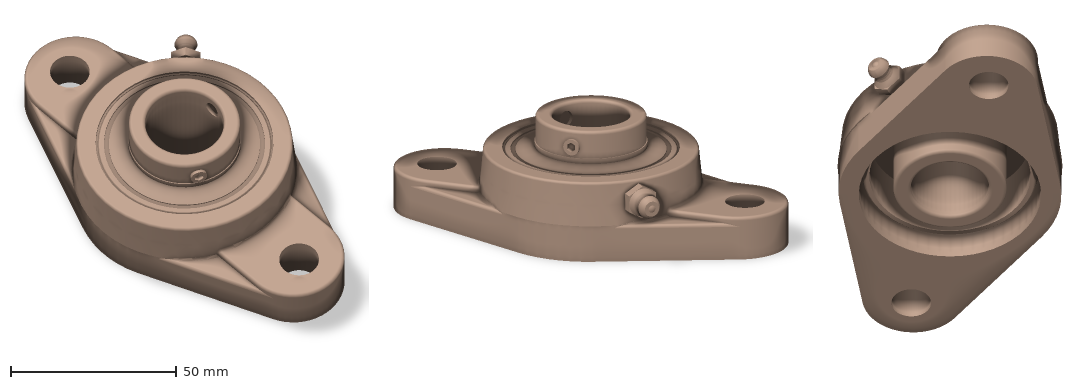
import cadquery as cq
import math

FLANGE_LENGTH = 125.0
EAR_RADIUS = 15.5
EAR_CENTRE = FLANGE_LENGTH / 2 - EAR_RADIUS
SIDE_RADIUS = 31.0
SIDE_CENTRE = 2.8
WEB_HEIGHT = 11.5
PAD_HEIGHT = 13.5
EDGE_FILLET = 1.0
BOLT_SPACING = 99.0
BOLT_DIAMETER = 12.0

HUB_BASE_RADIUS = 34.0
HUB_TOP_RADIUS = 32.6
HUB_HEIGHT = 25.0
HUB_FILLET = 0.9
HUB_ROOT_FILLET = 0.8
HUB_ROOT_START = 17.5
SELECTION_MARGIN = 0.1
HUB_MOUTH_RADIUS = 26.9
HUB_MOUTH_DEPTH = 0.8

SEAT_RADIUS = 55.1 / 2
SEAT_HEIGHT = 16.0
OUTER_RING_WIDTH = 17.0
OUTER_RING_CHAMFER = 0.5
OUTER_RING_LIP_RADIUS = 24.4
INNER_RING_TOP = 35.8
INNER_RING_BOTTOM = 1.8
BORE_DIAMETER = 23.8
COLLAR_DIAMETER = 33.6
SHOULDER_DIAMETER = 34.2
SHOULDER_TOP = 27.1
RING_EDGE_FILLET = 1.0

SEAL_DISH_RADIUS = 22.9
SEAL_INNER_TOP = 25.5
SEAL_DISH_EDGE_TOP = 24.4
SEAL_RIM_TOP = 24.0
SEAL_THICKNESS = 1.5

HEX_SIDES = 6

SCREW_ANGLES = (90, -30)
SCREW_DIAMETER = 5.0
SCREW_HEIGHT = 30.6
SCREW_INNER_END = 12.9
SCREW_OUTER_END = 17.8
SOCKET_ACROSS_CORNERS = 3.1
SOCKET_DEPTH = 1.9

NIPPLE_ANGLE = 135
NIPPLE_HEIGHT = 19.0
STEM_DIAMETER = 4.9
STEM_END = 28.8
HEX_BACK = 33.9
HEX_FRONT = 36.8
HEX_ACROSS_CORNERS = 10.2
CONE_BASE_RADIUS = 4.4
CONE_END = 38.2
CONE_END_RADIUS = 3.0
NECK_START = 39.0
NECK_END = 39.8
NECK_RADIUS = 2.8
HEAD_PEAK = 41.2
HEAD_PEAK_RADIUS = 3.5
HEAD_SHOULDER = 42.6
HEAD_SHOULDER_RADIUS = 3.1
TIP = 43.5
TIP_RADIUS = 2.4
BALL_DIAMETER = 3.8
BALL_STAND_OUT = 0.4


def radial_plane(angle, distance, height):
    """Plane facing outwards, at a distance from the bearing axis; its local X points up."""
    turn = math.radians(angle)
    outward = (math.cos(turn), math.sin(turn), 0)
    origin = (distance * outward[0], distance * outward[1], height)
    return cq.Plane(origin=origin, xDir=(0, 0, 1), normal=outward)


def revolved(points):
    """Solid of revolution about Z from (radius, height) points."""
    return cq.Workplane("XZ").polyline(points).close().revolve(360, (0, 0), (0, 1))


def flange_blank():
    """Plate of two ears and two wide sides joined by tangent lines."""
    spread = math.hypot(EAR_CENTRE, SIDE_CENTRE)
    normal = (
        math.pi / 2
        - math.asin((SIDE_RADIUS - EAR_RADIUS) / spread)
        - math.atan(SIDE_CENTRE / EAR_CENTRE)
    )
    ear_x = EAR_CENTRE + EAR_RADIUS * math.cos(normal)
    ear_y = EAR_RADIUS * math.sin(normal)
    side_x = SIDE_RADIUS * math.cos(normal)
    side_y = SIDE_CENTRE + SIDE_RADIUS * math.sin(normal)
    outline = (
        cq.Workplane("XY")
        .moveTo(ear_x, -ear_y)
        .threePointArc((FLANGE_LENGTH / 2, 0), (ear_x, ear_y))
        .lineTo(side_x, side_y)
        .threePointArc((0, SIDE_CENTRE + SIDE_RADIUS), (-side_x, side_y))
        .lineTo(-ear_x, ear_y)
        .threePointArc((-FLANGE_LENGTH / 2, 0), (-ear_x, -ear_y))
        .lineTo(-side_x, -side_y)
        .threePointArc((0, -SIDE_CENTRE - SIDE_RADIUS), (side_x, -side_y))
        .close()
    )
    return outline.extrude(WEB_HEIGHT)


def flange_plate():
    """Flange with a rounded top edge, left sharp where the hub covers it."""
    blank = flange_blank()
    hub_footing = cq.Workplane("XY").circle(HUB_BASE_RADIUS).extrude(WEB_HEIGHT).intersect(blank)
    return blank.faces(">Z").edges().fillet(EDGE_FILLET).union(hub_footing)


def bolt_pads():
    """Raised bar with round ends that carries the bolt holes."""
    bar = cq.Workplane("XY").slot2D(FLANGE_LENGTH, 2 * EAR_RADIUS).extrude(PAD_HEIGHT)
    return bar.faces(">Z").edges().fillet(EDGE_FILLET)


def hub():
    """Drafted boss with a rounded top edge."""
    cone = revolved([
        (0, WEB_HEIGHT),
        (HUB_BASE_RADIUS, WEB_HEIGHT),
        (HUB_TOP_RADIUS, HUB_HEIGHT),
        (0, HUB_HEIGHT),
    ])
    return cone.faces(">Z").edges().fillet(HUB_FILLET)


def hub_root(side):
    """Selector of the edges where the hub meets the web and the pad on one side."""
    low = (side * HUB_ROOT_START, -HUB_BASE_RADIUS, WEB_HEIGHT - SELECTION_MARGIN)
    high = (side * HUB_BASE_RADIUS, HUB_BASE_RADIUS, PAD_HEIGHT + SELECTION_MARGIN)
    return cq.selectors.BoxSelector(low, high)


def seat_ball():
    """Ball that shapes the seat in the hub."""
    return cq.Workplane("XY").sphere(SEAT_RADIUS).translate((0, 0, SEAT_HEIGHT))


def make_housing():
    """Flange, pads and hub, open at the bottom for the bearing, with bolt and nipple holes."""
    body = flange_plate().union(bolt_pads()).union(hub())
    body = body.edges(hub_root(1) + hub_root(-1)).fillet(HUB_ROOT_FILLET)
    mouth = cq.Workplane("XY").workplane(offset=HUB_HEIGHT - HUB_MOUTH_DEPTH)
    mouth = mouth.circle(HUB_MOUTH_RADIUS).extrude(HUB_MOUTH_DEPTH)
    bolt_holes = (
        cq.Workplane("XY")
        .pushPoints([(-BOLT_SPACING / 2, 0), (BOLT_SPACING / 2, 0)])
        .circle(BOLT_DIAMETER / 2)
        .extrude(PAD_HEIGHT)
    )
    nipple_hole = cq.Workplane(radial_plane(NIPPLE_ANGLE, 0, NIPPLE_HEIGHT))
    nipple_hole = nipple_hole.circle(STEM_DIAMETER / 2).extrude(HEX_BACK)
    entry = cq.Workplane("XY").circle(SEAT_RADIUS).extrude(SEAT_HEIGHT)
    return body.cut(seat_ball()).cut(entry).cut(mouth).cut(bolt_holes).cut(nipple_hole)


def make_outer_ring():
    """Ring with a spherical outside and chamfered outer edges."""
    half_width = OUTER_RING_WIDTH / 2
    chamfer_start = half_width - OUTER_RING_CHAMFER
    rim = math.sqrt(SEAT_RADIUS**2 - chamfer_start**2)
    face_edge = rim - OUTER_RING_CHAMFER
    section = (
        cq.Workplane("XZ", origin=(0, 0, SEAT_HEIGHT))
        .moveTo(OUTER_RING_LIP_RADIUS, -half_width)
        .lineTo(face_edge, -half_width)
        .lineTo(rim, -chamfer_start)
        .threePointArc((SEAT_RADIUS, 0), (rim, chamfer_start))
        .lineTo(face_edge, half_width)
        .lineTo(OUTER_RING_LIP_RADIUS, half_width)
        .close()
    )
    return section.revolve(360, (0, 0), (0, 1))


def make_inner_ring():
    """Ring with a collar above its shoulder and a hole for each set screw."""
    bore = BORE_DIAMETER / 2
    collar = COLLAR_DIAMETER / 2
    shoulder = SHOULDER_DIAMETER / 2
    ring = revolved([
        (bore, INNER_RING_BOTTOM),
        (shoulder, INNER_RING_BOTTOM),
        (shoulder, SHOULDER_TOP),
        (collar, SHOULDER_TOP),
        (collar, INNER_RING_TOP),
        (bore, INNER_RING_TOP),
    ])
    ring = ring.faces(">Z or <Z").edges().fillet(RING_EDGE_FILLET)
    for angle in SCREW_ANGLES:
        hole = cq.Workplane(radial_plane(angle, 0, SCREW_HEIGHT))
        ring = ring.cut(hole.circle(SCREW_DIAMETER / 2).extrude(SHOULDER_DIAMETER))
    return ring


def make_seal():
    """Sloping dish on a lower flat rim, between the two rings."""
    shoulder = SHOULDER_DIAMETER / 2
    return revolved([
        (shoulder, SEAL_INNER_TOP),
        (SEAL_DISH_RADIUS, SEAL_DISH_EDGE_TOP),
        (SEAL_DISH_RADIUS, SEAL_RIM_TOP),
        (OUTER_RING_LIP_RADIUS, SEAL_RIM_TOP),
        (OUTER_RING_LIP_RADIUS, SEAL_RIM_TOP - SEAL_THICKNESS),
        (shoulder, SEAL_RIM_TOP - SEAL_THICKNESS),
    ])


def make_set_screw(angle):
    """Headless screw with a hexagonal socket in its outer end."""
    screw = cq.Workplane(radial_plane(angle, SCREW_INNER_END, SCREW_HEIGHT))
    screw = screw.circle(SCREW_DIAMETER / 2).extrude(SCREW_OUTER_END - SCREW_INNER_END)
    socket = cq.Workplane(radial_plane(angle, SCREW_OUTER_END - SOCKET_DEPTH, SCREW_HEIGHT))
    return screw.cut(socket.polygon(HEX_SIDES, SOCKET_ACROSS_CORNERS).extrude(SOCKET_DEPTH))


def make_grease_nipple():
    """Nipple turned upright along Z, then laid on its radial line."""
    stem_radius = STEM_DIAMETER / 2
    section = (
        cq.Workplane("XZ")
        .moveTo(0, STEM_END)
        .lineTo(stem_radius, STEM_END)
        .lineTo(stem_radius, HEX_FRONT)
        .lineTo(CONE_BASE_RADIUS, HEX_FRONT)
        .lineTo(CONE_END_RADIUS, CONE_END)
        .lineTo(NECK_RADIUS, NECK_START)
        .lineTo(NECK_RADIUS, NECK_END)
        .lineTo(HEAD_PEAK_RADIUS, HEAD_PEAK)
        .threePointArc((HEAD_SHOULDER_RADIUS, HEAD_SHOULDER), (TIP_RADIUS, TIP))
        .lineTo(0, TIP)
        .close()
    )
    turned = section.revolve(360, (0, 0), (0, 1))
    hexagon = cq.Workplane("XY").workplane(offset=HEX_BACK)
    hexagon = hexagon.polygon(HEX_SIDES, HEX_ACROSS_CORNERS).extrude(HEX_FRONT - HEX_BACK)
    ball = cq.Workplane("XY").sphere(BALL_DIAMETER / 2)
    ball = ball.translate((0, 0, TIP + BALL_STAND_OUT - BALL_DIAMETER / 2))
    upright = turned.union(hexagon).union(ball)
    return (
        upright.rotate((0, 0, 0), (0, 1, 0), 90)
        .rotate((0, 0, 0), (0, 0, 1), NIPPLE_ANGLE)
        .translate((0, 0, NIPPLE_HEIGHT))
    )


housing = make_housing()
outer_ring = make_outer_ring()
inner_ring = make_inner_ring()
seal = make_seal()
set_screws = [make_set_screw(angle) for angle in SCREW_ANGLES]
grease_nipple = make_grease_nipple()

result = cq.Compound.makeCompound([
    housing.val(),
    outer_ring.val(),
    inner_ring.val(),
    seal.val(),
    *[screw.val() for screw in set_screws],
    grease_nipple.val(),
])